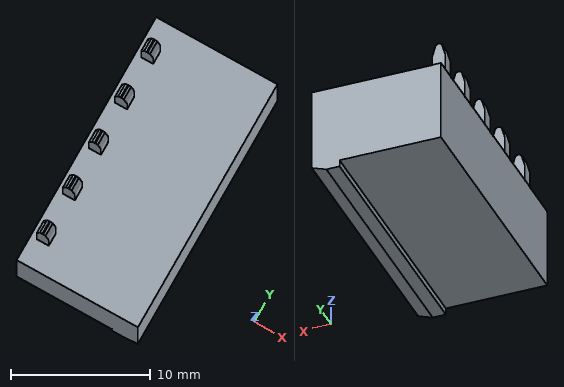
import cadquery as cq

length = 20.37
width = 10.0
total_height = 10.2
pin_height = 3.24
foot_height = 0.53
foot_start = 7.85
foot_flat = 1.02
foot_bevel_rise = 0.4

pin_count = 5
pin_pitch = 3.8
pin_inset = 0.5
pin_thickness = 1.0
pin_breadth = 1.05
taper_height = 1.02
taper_inset = 0.26
tip_flat = 0.08
tip_bevel_height = 0.1

housing_top = total_height - pin_height


def make_housing():
    """Extruded block with a bevelled foot along its +X lower edge."""
    outline = [
        (0, housing_top),
        (0, foot_height),
        (foot_start, foot_height),
        (foot_start, 0),
        (foot_start + foot_flat, 0),
        (width, foot_bevel_rise),
        (width, housing_top),
    ]
    return cq.Workplane("XZ").polyline(outline).close().extrude(length / 2, both=True)


def make_pin():
    """Rectangular pin standing on the housing, tapered in X to a bevelled tip."""
    half_thickness = pin_thickness / 2
    half_flat = tip_flat / 2
    right_side = [
        (half_thickness, housing_top),
        (half_thickness, total_height - taper_height),
        (half_thickness - taper_inset, total_height - tip_bevel_height),
        (half_flat, total_height),
    ]
    left_side = [(-x, z) for x, z in reversed(right_side)]
    return (
        cq.Workplane("XZ", origin=(pin_inset + half_thickness, 0, 0))
        .polyline(right_side + left_side)
        .close()
        .extrude(pin_breadth / 2, both=True)
    )


result = make_housing()
pin = make_pin()
for index in range(pin_count):
    pin_y = (index - (pin_count - 1) / 2) * pin_pitch
    result = result.union(pin.translate((0, pin_y, 0)))